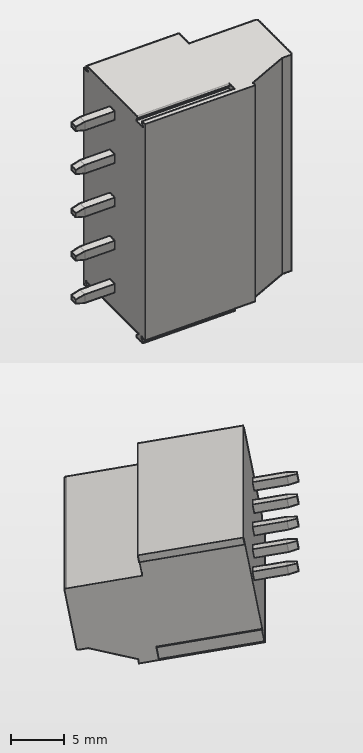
import cadquery as cq

pin_count = 5
pitch = 5.0
end_wall_extra = 0.05
housing_height = pin_count * pitch + end_wall_extra

width = 11.2
depth = 17.4
base_depth = 10.0
step_width = 2.4

rear_right = 8.8
rear_wall_depth = 1.1
slope_right = 10.75
shoulder_depth = 5.45
rear_edge_radius = 0.2

rail_drop = 0.6
rail_foot_height = 0.2
rail_neck_drop = 0.1
groove_neck_depth = 0.2
groove_foot_height = 0.1
groove_lip_radius = 0.12
edge_foot_right = 0.73
edge_rail_neck = 0.37
edge_groove_neck = 0.48
dovetail_center = 10.2
dovetail_foot_width = 1.2
dovetail_rail_neck_width = 0.55
dovetail_groove_neck_width = 0.78

pin_x = 5.24
pin_width = 0.9
pin_height = 1.0
pin_length = 4.2
pin_tip_length = 0.95
pin_tip_width = 0.82
pin_tip_height = 0.5


def make_housing():
    """Stepped plan outline raised to the full housing height."""
    rear = depth
    return (
        cq.Workplane("XY")
        .moveTo(0, 0)
        .lineTo(width, 0)
        .lineTo(width, rear - shoulder_depth)
        .lineTo(slope_right, rear - shoulder_depth)
        .lineTo(rear_right, rear - rear_wall_depth)
        .lineTo(rear_right, rear)
        .lineTo(step_width, rear)
        .lineTo(step_width, base_depth)
        .lineTo(0, base_depth)
        .close()
        .extrude(housing_height)
        .faces(">Y")
        .edges("|Z")
        .fillet(rear_edge_radius)
    )


def extrude_along_base(points):
    """Extrude an XZ outline from the pin face to the rear of the base."""
    return cq.Workplane("XZ").polyline(points).close().extrude(-base_depth)


def edge_dovetail(top, neck, neck_drop, foot_height):
    """Half-dovetail prism flush with the left side, hanging down from the level top."""
    bottom = top - rail_drop
    return extrude_along_base([
        (0, top),
        (neck, top),
        (neck, top - neck_drop),
        (edge_foot_right, bottom + foot_height),
        (edge_foot_right, bottom),
        (0, bottom),
    ])


def full_dovetail(top, neck_width, neck_drop, foot_height):
    """Full-dovetail prism hanging down from the level top."""
    bottom = top - rail_drop
    right_side = [
        (neck_width / 2, top),
        (neck_width / 2, top - neck_drop),
        (dovetail_foot_width / 2, bottom + foot_height),
        (dovetail_foot_width / 2, bottom),
    ]
    right = [(dovetail_center + x, z) for x, z in right_side]
    left = [(dovetail_center - x, z) for x, z in reversed(right_side)]
    return extrude_along_base(right + left)


def make_pin(z):
    """Rectangular pin with a tapered tip, pointing toward -Y."""
    shank_length = pin_length - pin_tip_length
    shank = (
        cq.Workplane("XZ")
        .center(pin_x, z)
        .rect(pin_width, pin_height)
        .extrude(shank_length)
    )
    tip = (
        cq.Workplane("XZ", origin=(0, -shank_length, 0))
        .center(pin_x, z)
        .rect(pin_width, pin_height)
        .workplane(offset=pin_tip_length)
        .rect(pin_tip_width, pin_tip_height)
        .loft()
    )
    return shank.union(tip)


result = make_housing()

result = result.cut(edge_dovetail(housing_height, edge_groove_neck, groove_neck_depth, groove_foot_height))
result = result.cut(
    full_dovetail(housing_height, dovetail_groove_neck_width, groove_neck_depth, groove_foot_height)
)
dovetail_mouth_right = dovetail_center + dovetail_groove_neck_width / 2
groove_lips = cq.selectors.BoxSelector(
    (0, 0, housing_height - groove_lip_radius),
    (dovetail_mouth_right + groove_lip_radius, base_depth, housing_height + groove_lip_radius),
)
result = result.edges("|Y").edges(groove_lips).fillet(groove_lip_radius)

result = result.union(edge_dovetail(0, edge_rail_neck, rail_neck_drop, rail_foot_height))
result = result.union(full_dovetail(0, dovetail_rail_neck_width, rail_neck_drop, rail_foot_height))

top_pin_z = housing_height - pitch / 2
for index in range(pin_count):
    pin_z = top_pin_z - index * pitch
    result = result.union(make_pin(pin_z))